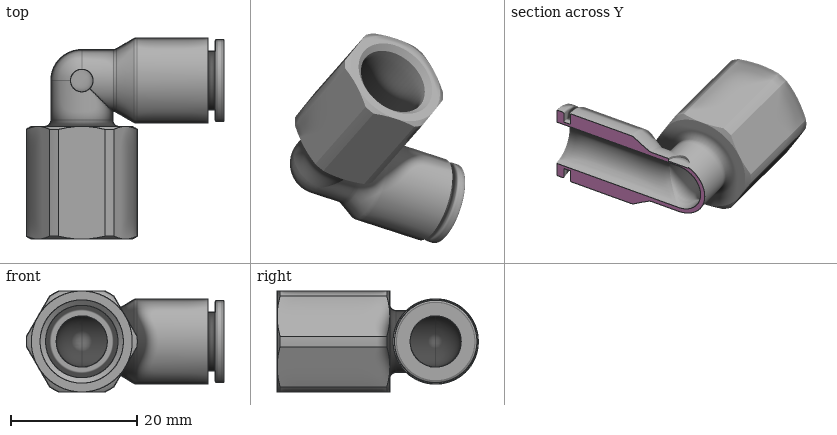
import cadquery as cq
import math

OVERLAP = 0.32

elbow_radius = 4.9
passage_radius = 4.05
mark_radius = 1.78
mark_floor_z = 4.4

hex_across_flats = 16.0
hex_corner_radius = 8.8
hex_start = 7.25
hex_end = 25.1
hex_chamfer_angle = 30.0
neck_fillet = 1.0
socket_radius = 5.73
socket_depth = 12.75
socket_mouth_radius = 6.6
socket_mouth_depth = socket_mouth_radius - socket_radius

body_radius = 6.75
body_start = 8.47
body_end = 20.0
cone_angle = 30.0
cone_blend = 1.0
collar_neck_radius = 4.65
flange_radius = 6.53
flange_start = 21.12
flange_end = 22.55
flange_rounding = 0.32

cone_start = body_start - (body_radius - elbow_radius) / math.tan(math.radians(cone_angle))


def x_cylinder(radius, start, end):
    return cq.Workplane("YZ", origin=(start, 0, 0)).circle(radius).extrude(end - start)


def y_cylinder(radius, start, end):
    """Cylinder along -Y between two distances from the elbow centre."""
    return cq.Workplane("XZ", origin=(0, -start, 0)).circle(radius).extrude(end - start)


def elbow(radius, x_end, y_end):
    """Two round arms joined by a ball at the elbow centre."""
    return (
        cq.Workplane("XY").sphere(radius)
        .union(x_cylinder(radius, 0, x_end))
        .union(y_cylinder(radius, 0, y_end))
    )


def hex_socket():
    """Hex prism with its corners rounded and its ends chamfered down to the flats."""
    length = hex_end - hex_start
    corner_diameter = hex_across_flats / math.cos(math.pi / 6)
    prism = (
        cq.Workplane("XZ", origin=(0, -hex_start, 0))
        .polygon(6, corner_diameter)
        .extrude(length)
    )
    chamfer_width = hex_corner_radius - hex_across_flats / 2
    chamfer_length = chamfer_width * math.tan(math.radians(hex_chamfer_angle))
    envelope = (
        y_cylinder(hex_corner_radius, hex_start, hex_end)
        .faces("|Y").chamfer(chamfer_length, chamfer_width)
    )
    return prism.intersect(envelope)


def neck_flare():
    """Concave fillet between the elbow arm and the back face of the hex."""
    return (
        cq.Workplane("XY")
        .moveTo(0, -hex_start)
        .lineTo(elbow_radius + neck_fillet, -hex_start)
        .radiusArc((elbow_radius, neck_fillet - hex_start), neck_fillet)
        .lineTo(0, neck_fillet - hex_start)
        .close()
        .revolve(360, (0, 0, 0), (0, 1, 0))
    )


def push_in_body():
    """Cone widening from the elbow arm to the cylindrical body."""
    body = (
        cq.Workplane("XY")
        .lineTo(0, elbow_radius)
        .lineTo(cone_start, elbow_radius)
        .lineTo(body_start, body_radius)
        .lineTo(body_end, body_radius)
        .lineTo(body_end, 0)
        .close()
        .revolve(360, (0, 0, 0), (1, 0, 0))
    )
    cone_ends = cq.selectors.BoxSelector(
        (cone_start - OVERLAP, -body_radius, -body_radius),
        (body_start + OVERLAP, body_radius, body_radius),
    )
    return body.edges("%CIRCLE").edges(cone_ends).fillet(cone_blend)


def release_collar():
    flange = x_cylinder(flange_radius, flange_start, flange_end).edges("%CIRCLE").fillet(flange_rounding)
    return x_cylinder(collar_neck_radius, 0, flange_end - flange_rounding).union(flange)


def socket_bore():
    """Wide bore with a 45 degree mouth chamfer."""
    bore = y_cylinder(socket_radius, hex_end - socket_depth, hex_end)
    mouth = (
        cq.Workplane("XZ", origin=(0, -hex_end, 0))
        .circle(socket_mouth_radius)
        .extrude(-socket_mouth_depth, taper=45)
    )
    return bore.union(mouth)


def mark_recess():
    return (
        cq.Workplane("XY", origin=(0, 0, mark_floor_z))
        .circle(mark_radius)
        .extrude(elbow_radius - mark_floor_z + OVERLAP)
    )


outside = (
    elbow(elbow_radius, cone_start, hex_start)
    .union(push_in_body())
    .union(release_collar())
    .union(neck_flare())
    .union(hex_socket())
)

result = (
    outside
    .cut(elbow(passage_radius, flange_end + OVERLAP, hex_end))
    .cut(socket_bore())
    .cut(mark_recess())
)